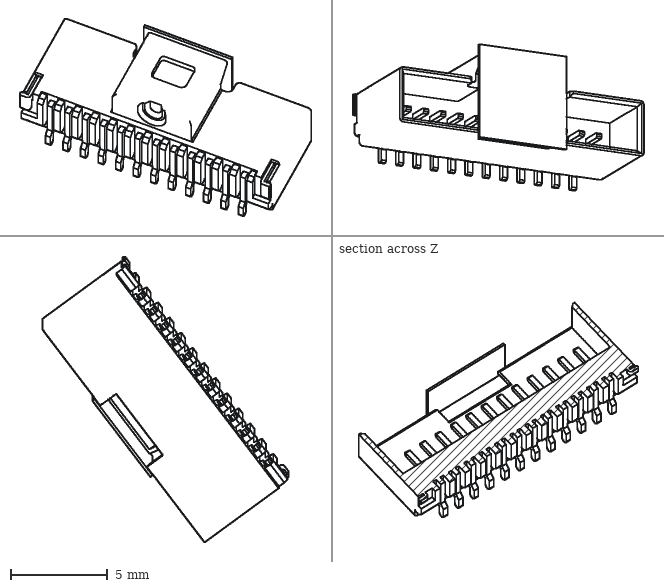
import cadquery as cq


PITCH = 1.0
CONTACT_COUNT = 12

BODY_WIDTH = 14.05
BODY_BACK = 5.4
BODY_BOTTOM = 0.61
BODY_TOP = 3.59
EDGE_RADIUS = 0.21
WALL = 0.3
CAVITY_FRONT = 2.0
MOUTH_CHAMFER = 0.17
FLOOR_NOTCH_FRONT = 4.37

FRONT_WALL_Y = 0.61
CORNER_PAD_Y = 0.31
CORNER_PAD_INNER_X = 6.12
CORNER_PAD_BOTTOM = 1.92
RIB_WIDTH = 0.35
RIB_FRONT = 0.05
RIB_BOTTOM = 1.21
RIB_TOP = 3.47
RIB_CHAMFER = 0.21

COVER_WIDTH = 4.5
COVER_FRONT = 0.91
COVER_TOP = 5.07
COVER_RADIUS = 0.2
COVER_ROOF = 0.35
COVER_SIDE_WALL = 0.23
COVER_BASE_CHAMFER = 0.09

OPENING_HALF_WIDTH = 2.82
OPENING_FRONT = 4.57
OPENING_KNEE_Z = 4.05
OPENING_CORNER_RADIUS = 0.28
OPENING_FLARE = 0.14

WINDOW_WIDTH = 1.95
WINDOW_FRONT = 2.85
WINDOW_BACK = 4.31
WINDOW_FRONT_RADIUS = 0.28
WINDOW_BACK_RADIUS = 0.19

NOTCH_CENTRE_Z = 4.6
NOTCH_MOUTH_RADIUS = 0.8
NOTCH_STEP_OUTER_RADIUS = 0.63
NOTCH_STEP_INNER_RADIUS = 0.5
NOTCH_FLOOR_RADIUS = 0.31
NOTCH_STEP_DEPTH = 0.24
NOTCH_DEPTH = 0.5

CONTACT_WIDTH = 0.28
POST_FRONT = 0.23
POST_TOP = 3.13
FOOT_THICKNESS = 0.35
FOOT_CHAMFER = 0.1
BEND_OUTER_TOP = 1.04
BEND_OUTER_BOTTOM = 0.78
BEND_INNER_TOP = 0.98
BEND_INNER_BOTTOM = 0.67
CONTACT_TIP_Y = 3.3
CONTACT_TIP_CHAMFER = 0.09

TAB_TOP = 3.5
TAB_BOTTOM = 2.4
TAB_TIP_X = 7.12
TAB_OUTER_X = 6.7
TAB_INNER_X = 6.54
TAB_FRONT = 0.01
TAB_FOOT_THICKNESS = 0.21
TAB_BEND_RADIUS = 0.19
TAB_TIP_CHAMFER = 0.05
TAB_BACK = 1.52
SLOT_OUTER_X = 6.82
SLOT_INNER_X = 6.5
SLOT_FLOOR = 2.99

TAPE_SIDE = 5.01
TAPE_THICKNESS = 0.14
TAPE_BOTTOM = 0.34

HALF_BODY = BODY_WIDTH / 2
CAVITY_HALF_WIDTH = HALF_BODY - WALL
LATCH_HALF_WIDTH = COVER_WIDTH / 2 - COVER_SIDE_WALL
CAVITY_BOTTOM = BODY_BOTTOM + WALL
CAVITY_TOP = BODY_TOP - WALL
CAVITY_MID_Z = (CAVITY_BOTTOM + CAVITY_TOP) / 2


def block(x_min, x_max, y_min, y_max, z_min, z_max):
    """Box given by its limits along each axis."""
    size = (x_max - x_min, y_max - y_min, z_max - z_min)
    return cq.Workplane("XY").box(*size, centered=False).translate((x_min, y_min, z_min))


def side_profile(points, x_min, x_max):
    """Prism along X with an outline given as (y, z) points."""
    return cq.Workplane("YZ").polyline(points).close().extrude(x_max - x_min).translate((x_min, 0, 0))


def mirrored(shape):
    """The shape together with its mirror image across X = 0."""
    return shape.union(shape.mirror("YZ"))


def make_shell():
    shell = block(-HALF_BODY, HALF_BODY, CORNER_PAD_Y, BODY_BACK, BODY_BOTTOM, BODY_TOP)
    shell = shell.edges("|Y").fillet(EDGE_RADIUS)
    front_recess = block(
        -CORNER_PAD_INNER_X, CORNER_PAD_INNER_X, CORNER_PAD_Y, FRONT_WALL_Y, BODY_BOTTOM, BODY_TOP
    )
    undercut = block(-HALF_BODY, HALF_BODY, CORNER_PAD_Y, FRONT_WALL_Y, BODY_BOTTOM, RIB_BOTTOM)
    return shell.cut(front_recess).cut(undercut)


def make_ribs():
    rib_outline = [
        (FRONT_WALL_Y, RIB_BOTTOM),
        (RIB_FRONT + RIB_CHAMFER, RIB_BOTTOM),
        (RIB_FRONT, RIB_BOTTOM + RIB_CHAMFER),
        (RIB_FRONT, RIB_TOP - RIB_CHAMFER),
        (RIB_FRONT + RIB_CHAMFER, RIB_TOP),
        (FRONT_WALL_Y, RIB_TOP),
    ]
    ribs = cq.Workplane("XY")
    for gap in range(CONTACT_COUNT - 1):
        rib_x = (gap - (CONTACT_COUNT - 2) / 2) * PITCH
        ribs = ribs.union(side_profile(rib_outline, rib_x - RIB_WIDTH / 2, rib_x + RIB_WIDTH / 2))

    end_inner_x = CONTACT_COUNT / 2 * PITCH - RIB_WIDTH / 2
    end_block = side_profile(rib_outline, end_inner_x, HALF_BODY)
    pad_clearance = block(
        CORNER_PAD_INNER_X, HALF_BODY, RIB_FRONT, FRONT_WALL_Y, CORNER_PAD_BOTTOM, RIB_TOP
    )
    return ribs.union(mirrored(end_block.cut(pad_clearance)))


def make_cover():
    half_width = COVER_WIDTH / 2
    cover = block(-half_width, half_width, COVER_FRONT, BODY_BACK, CAVITY_TOP, COVER_TOP)
    cover = cover.faces(">Z").edges("|Y or <Y").fillet(COVER_RADIUS)
    base_half_width = half_width + COVER_BASE_CHAMFER
    base = (
        cq.Workplane("XZ", origin=(0, BODY_BACK, 0))
        .moveTo(-base_half_width, BODY_TOP)
        .lineTo(base_half_width, BODY_TOP)
        .lineTo(half_width, BODY_TOP + COVER_BASE_CHAMFER)
        .lineTo(-half_width, BODY_TOP + COVER_BASE_CHAMFER)
        .close()
        .extrude(BODY_BACK - COVER_FRONT)
    )
    return cover.union(base)


def make_cavity():
    cavity = block(
        -CAVITY_HALF_WIDTH, CAVITY_HALF_WIDTH, CAVITY_FRONT, BODY_BACK, CAVITY_BOTTOM, CAVITY_TOP
    )
    mouth_width = 2 * CAVITY_HALF_WIDTH
    mouth_height = CAVITY_TOP - CAVITY_BOTTOM
    mouth = (
        cq.Workplane("XZ", origin=(0, BODY_BACK - MOUTH_CHAMFER, CAVITY_MID_Z))
        .rect(mouth_width, mouth_height)
        .workplane(offset=-MOUTH_CHAMFER)
        .rect(mouth_width + 2 * MOUTH_CHAMFER, mouth_height + 2 * MOUTH_CHAMFER)
        .loft(ruled=True)
    )
    latch_space = block(
        -LATCH_HALF_WIDTH, LATCH_HALF_WIDTH, CAVITY_FRONT, BODY_BACK, CAVITY_MID_Z, COVER_TOP - COVER_ROOF
    )
    return cavity.union(mouth).union(latch_space)


def make_floor_notch():
    """Opening in the cavity floor opposite the latch, with a chamfered front lip."""
    outline = [
        (FLOOR_NOTCH_FRONT, BODY_BOTTOM),
        (BODY_BACK, BODY_BOTTOM),
        (BODY_BACK, CAVITY_BOTTOM),
        (FLOOR_NOTCH_FRONT - MOUTH_CHAMFER, CAVITY_BOTTOM),
        (FLOOR_NOTCH_FRONT, CAVITY_BOTTOM - MOUTH_CHAMFER),
    ]
    return side_profile(outline, -LATCH_HALF_WIDTH, LATCH_HALF_WIDTH)


def make_side_openings():
    slope_run = BODY_BACK - OPENING_FRONT
    outline = [
        (OPENING_FRONT, CAVITY_MID_Z),
        (BODY_BACK, CAVITY_MID_Z),
        (BODY_BACK, OPENING_KNEE_Z + slope_run),
        (OPENING_FRONT, OPENING_KNEE_Z),
    ]
    openings = side_profile(outline, -OPENING_HALF_WIDTH, OPENING_HALF_WIDTH)
    openings = openings.faces("<Y").edges("|Z").fillet(OPENING_CORNER_RADIUS)
    flare = (
        cq.Workplane("XY", origin=(0, 0, CAVITY_MID_Z))
        .moveTo(-OPENING_HALF_WIDTH, BODY_BACK - OPENING_FLARE)
        .lineTo(OPENING_HALF_WIDTH, BODY_BACK - OPENING_FLARE)
        .lineTo(OPENING_HALF_WIDTH + OPENING_FLARE, BODY_BACK)
        .lineTo(-OPENING_HALF_WIDTH - OPENING_FLARE, BODY_BACK)
        .close()
        .extrude(BODY_TOP - CAVITY_MID_Z)
    )
    return openings.union(flare)


def make_window():
    half_width = WINDOW_WIDTH / 2
    window = block(-half_width, half_width, WINDOW_FRONT, WINDOW_BACK, COVER_TOP - COVER_ROOF, COVER_TOP)
    window = window.faces("<Y").edges("|Z").fillet(WINDOW_FRONT_RADIUS)
    return window.faces(">Y").edges("|Z").fillet(WINDOW_BACK_RADIUS)


def notch_stage(mouth_radius, floor_radius, start_depth, end_depth):
    """Half cone along Y whose sides continue straight up to the cover top."""

    def section(radius, depth):
        return (
            cq.Workplane("XZ", origin=(0, COVER_FRONT + depth, NOTCH_CENTRE_Z))
            .moveTo(-radius, COVER_TOP - NOTCH_CENTRE_Z)
            .lineTo(-radius, 0)
            .threePointArc((0, -radius), (radius, 0))
            .lineTo(radius, COVER_TOP - NOTCH_CENTRE_Z)
            .close()
            .wires()
            .val()
        )

    sections = [section(mouth_radius, start_depth), section(floor_radius, end_depth)]
    return cq.Workplane("XY").add(cq.Solid.makeLoft(sections, True))


def make_notch():
    outer_stage = notch_stage(NOTCH_MOUTH_RADIUS, NOTCH_STEP_OUTER_RADIUS, 0, NOTCH_STEP_DEPTH)
    inner_stage = notch_stage(
        NOTCH_STEP_INNER_RADIUS, NOTCH_FLOOR_RADIUS, NOTCH_STEP_DEPTH, NOTCH_DEPTH
    )
    return outer_stage.union(inner_stage)


def make_contact(x):
    x_min = x - CONTACT_WIDTH / 2
    x_max = x + CONTACT_WIDTH / 2
    leg_outline = [
        (FRONT_WALL_Y, POST_TOP),
        (POST_FRONT, POST_TOP),
        (POST_FRONT, BEND_OUTER_TOP),
        (0, BEND_OUTER_BOTTOM),
        (0, FOOT_CHAMFER),
        (FOOT_CHAMFER, 0),
        (FOOT_THICKNESS - FOOT_CHAMFER, 0),
        (FOOT_THICKNESS, FOOT_CHAMFER),
        (FOOT_THICKNESS, BEND_INNER_BOTTOM),
        (FRONT_WALL_Y, BEND_INNER_TOP),
    ]
    half_width = CONTACT_WIDTH / 2
    blade = block(
        x_min, x_max, FRONT_WALL_Y, CONTACT_TIP_Y, CAVITY_MID_Z - half_width, CAVITY_MID_Z + half_width
    )
    blade = blade.faces(">Y").edges("|X").chamfer(CONTACT_TIP_CHAMFER)
    return side_profile(leg_outline, x_min, x_max).union(blade)


def make_contacts():
    contacts = cq.Workplane("XY")
    for index in range(CONTACT_COUNT):
        contacts = contacts.union(make_contact((index - (CONTACT_COUNT - 1) / 2) * PITCH))
    return contacts


def make_tab_slots():
    slot = block(SLOT_INNER_X, SLOT_OUTER_X, CORNER_PAD_Y, TAB_BACK, SLOT_FLOOR, BODY_TOP)
    ledge_rise = BODY_TOP - TAB_TOP
    ledge_outline = [
        (CORNER_PAD_Y, TAB_TOP),
        (TAB_BACK, TAB_TOP),
        (TAB_BACK + ledge_rise, BODY_TOP),
        (CORNER_PAD_Y, BODY_TOP),
    ]
    return mirrored(slot.union(side_profile(ledge_outline, SLOT_INNER_X, HALF_BODY)))


def make_tabs():
    foot_back = TAB_FRONT + TAB_FOOT_THICKNESS
    tab = (
        cq.Workplane("XY", origin=(0, 0, TAB_BOTTOM))
        .moveTo(TAB_INNER_X, TAB_BACK)
        .lineTo(TAB_INNER_X, TAB_FRONT)
        .lineTo(TAB_TIP_X, TAB_FRONT)
        .lineTo(TAB_TIP_X, foot_back)
        .lineTo(TAB_OUTER_X, foot_back)
        .lineTo(TAB_OUTER_X, TAB_BACK)
        .close()
        .extrude(TAB_TOP - TAB_BOTTOM)
    )
    tab = tab.faces(">X").edges("|Z").chamfer(TAB_TIP_CHAMFER)
    tab = tab.faces("<X").edges("|Z and <Y").fillet(TAB_BEND_RADIUS)
    return mirrored(tab)


def make_connector():
    housing = make_shell().union(make_cover()).union(make_ribs())
    housing = housing.cut(make_cavity()).cut(make_floor_notch())
    housing = housing.cut(make_side_openings()).cut(make_window()).cut(make_notch()).cut(make_tab_slots())
    return housing.union(make_contacts()).union(make_tabs())


def make_tape():
    half_side = TAPE_SIDE / 2
    return block(
        -half_side, half_side, BODY_BACK, BODY_BACK + TAPE_THICKNESS, TAPE_BOTTOM, TAPE_BOTTOM + TAPE_SIDE
    )


connector = make_connector()
tape = make_tape()

result = cq.Compound.makeCompound([connector.val(), tape.val()])